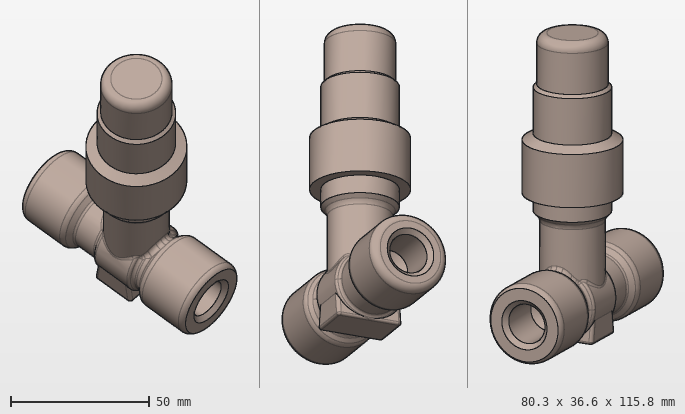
import cadquery as cq
import math


tube_radius = 11.9
socket_radius = 15.0
left_end = -43.7
right_end = 36.6
left_socket_back = -19.5
right_socket_back = 12.2
socket_round = 3.0
left_root_fillet = 1.4
right_root_fillet = 3.0
right_nose_length = 2.4

hub_radius = 13.5
hub_half_length = 8.8
hub_round = 1.3
hub_root_fillet = 1.5
hub_wall_half_width = 0.3

bore_radius = 7.4
bore_mouth_radius = 9.3
bore_depth = 18.5
drill_half_angle = math.radians(59)

block_half_width = 12.7
block_half_length = 8.8
block_draft = math.radians(8)
block_corner_round = 1.3
block_bottom_round = 0.9

stem_radius = 11.9
stem_root_fillet = 1.6
barrel_radius = 14.2
barrel_bottom = 33.4
barrel_top = 80.8
barrel_chamfer = 0.6
neck_fillet = 2.9
collar_radius = 18.3
collar_bottom = 40.2
collar_shoulder = 60.3
collar_top = 62.7
cap_radius = 13.0
overall_height = 115.8
cap_top = overall_height - socket_radius
cap_round = 3.7

pick_slack = 0.06


def revolve_about_x(points):
    """Turn an outline of (x, radius) points about the X axis."""
    return cq.Workplane("XY").polyline(points).close().revolve(360, (0, 0, 0), (1, 0, 0))


def round_edges_at(solid, x, radius, size):
    """Fillet the circular edge of a body revolved about X."""
    reach = radius + pick_slack
    low_corner = (x - pick_slack, -reach, -reach)
    high_corner = (x + pick_slack, reach, reach)
    edge = cq.selectors.BoxSelector(low_corner, high_corner, boundingbox=True)
    return solid.edges(edge).fillet(size)


def make_run():
    """Tube, hub and both sockets as one solid turned about X."""
    rise = socket_radius - tube_radius
    left_shoulder = left_socket_back - rise
    right_shoulder = right_socket_back + rise
    hub_foot = hub_half_length + hub_wall_half_width
    hub_crest = hub_half_length - hub_wall_half_width
    right_full_nose = right_end - right_nose_length + socket_round
    run = revolve_about_x([
        (left_end, 0),
        (left_end, socket_radius),
        (left_shoulder, socket_radius),
        (left_socket_back, tube_radius),
        (-hub_foot, tube_radius),
        (-hub_crest, hub_radius),
        (hub_crest, hub_radius),
        (hub_foot, tube_radius),
        (right_socket_back, tube_radius),
        (right_shoulder, socket_radius),
        (right_full_nose, socket_radius),
        (right_full_nose, 0),
    ])
    rounds = [
        (left_end, socket_radius, socket_round),
        (left_shoulder, socket_radius, socket_round),
        (left_socket_back, tube_radius, left_root_fillet),
        (-hub_foot, tube_radius, hub_root_fillet),
        (-hub_crest, hub_radius, hub_round),
        (hub_crest, hub_radius, hub_round),
        (hub_foot, tube_radius, hub_root_fillet),
        (right_socket_back, tube_radius, right_root_fillet),
        (right_shoulder, socket_radius, socket_round),
        (right_full_nose, socket_radius, socket_round),
    ]
    for x, radius, size in rounds:
        run = round_edges_at(run, x, radius, size)
    excess = cq.Workplane("YZ", origin=(right_end, 0, 0)).circle(2 * socket_radius).extrude(socket_round)
    return run.cut(excess)


def make_stem():
    """Stem, barrel, collar and cap turned about Z."""
    neck_foot = barrel_bottom - (barrel_radius - stem_radius)
    stem = (
        cq.Workplane("XZ")
        .polyline([
            (0, 0),
            (stem_radius, 0),
            (stem_radius, neck_foot),
            (barrel_radius, barrel_bottom),
            (barrel_radius, collar_bottom),
            (collar_radius, collar_bottom),
            (collar_radius, collar_shoulder),
            (barrel_radius, collar_top),
            (barrel_radius, barrel_top - barrel_chamfer),
            (cap_radius, barrel_top + barrel_chamfer),
            (cap_radius, cap_top),
            (0, cap_top),
        ])
        .close()
        .revolve(360, (0, 0, 0), (0, 1, 0))
    )
    stem = stem.faces(">Z").edges().fillet(cap_round)
    reach = stem_radius + pick_slack
    low_corner = (-reach, -reach, neck_foot - pick_slack)
    high_corner = (reach, reach, neck_foot + pick_slack)
    neck = cq.selectors.BoxSelector(low_corner, high_corner, boundingbox=True)
    return stem.edges(neck).fillet(neck_fillet)


def make_block():
    """Block level with the bottom of the hub, narrowing along X towards the run axis."""
    top_half_length = block_half_length - hub_radius * math.tan(block_draft)
    block = (
        cq.Workplane("XZ", origin=(0, block_half_width, 0))
        .polyline([
            (-block_half_length, -hub_radius),
            (block_half_length, -hub_radius),
            (top_half_length, 0),
            (-top_half_length, 0),
        ])
        .close()
        .extrude(2 * block_half_width)
    )
    block = block.edges("not(#Z or |Y)").fillet(block_corner_round)
    return block.faces("<Z").edges().fillet(block_bottom_round)


def make_bore(end_x, inward):
    """Blind drilled bore with a chamfered mouth; inward is the X direction, 1 or -1."""
    mouth_depth = bore_mouth_radius - bore_radius
    tip_depth = bore_depth + bore_radius / math.tan(drill_half_angle)
    return revolve_about_x([
        (end_x, 0),
        (end_x, bore_mouth_radius),
        (end_x + inward * mouth_depth, bore_radius),
        (end_x + inward * bore_depth, bore_radius),
        (end_x + inward * tip_depth, 0),
    ])


def join_stem(run, stem):
    """Unite the run and the stem and fillet the seam between them."""
    body = run.union(stem)

    def is_seam(edge):
        middle = edge.positionAt(0.5)
        low = middle.z < socket_radius
        return low and abs(math.hypot(middle.x, middle.y) - stem_radius) < pick_slack

    seam = [edge for edge in body.edges().vals() if is_seam(edge)]
    return body.newObject(seam).fillet(stem_root_fillet)


result = join_stem(make_run(), make_stem()).union(make_block())
result = result.cut(make_bore(left_end, 1)).cut(make_bore(right_end, -1))